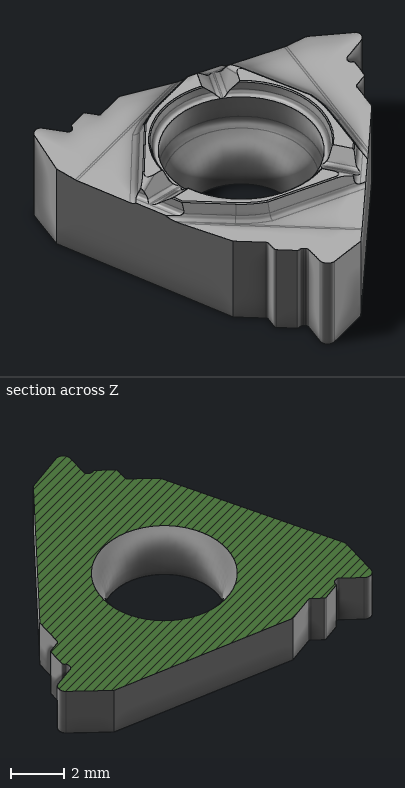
import cadquery as cq
import math

CORNERS = 3
CORNER_STEP = 360 / CORNERS
INSCRIBED_RADIUS = 9.525 / 2
TOOTH_TIP_Y = 6.89
TIP_CENTER_X = -3.585
TIP_RADIUS = 0.32
FLANK_ANGLE = 60
VALLEY_FLOOR_Y = 5.853
VALLEY_WIDTH = 0.24
VALLEY_RADIUS = 0.13
SHOULDER_Y = 6.017
SHOULDER_END_X = -1.58
SHOULDER_FOOT_Y = 5.487
SHOULDER_ROUND = 0.1

TOP_Z = 4.1
FLOOR_Z = 3.5
PAD_Z = 3.6
CUT_CLEARANCE = 0.5
REACH = 12.0

RAKE_ANGLE = 10
RAMP_BEND_Y = 4.285
RAMP_BEND_RADIUS = 0.5
RAMP_DEPTH = 0.5

SEAT_FOOT = 4.2
SEAT_DRAFT = 25
SEAT_FILLET = 0.3
SEAT_ARC_ANGLE = 19.2
SEAT_SLANT_ANGLE = 31.6
EDGE_BREAK = 0.04

END_WALL_FOOT = 4.56
END_WALL_DRAFT = 15
END_WALL_FILLET = 0.23

GROOVE_ANGLE = 46
GROOVE_FLAT = 0.06
GROOVE_FILLET = 0.3
GROOVE_DRAFT = 50
GROOVE_EDGE_ROUND = 0.35
GROOVE_EDGE_POINT = (-4.05, 1.68, 3.95)

THROAT_RADIUS = 2.2
THROAT_Z = 0.68
THROAT_CURVE = 2.05
BORE_RADIUS = 3.11
BORE_FILLET = 0.55
RIM_DRAFT = 15
RIM_FILLET = 0.25


def sin(angle):
    return math.sin(math.radians(angle))


def cos(angle):
    return math.cos(math.radians(angle))


def tan(angle):
    return math.tan(math.radians(angle))


def turned(point, angle):
    """Rotate a plan point about the origin."""
    x, y = point
    return (x * cos(angle) - y * sin(angle), x * sin(angle) + y * cos(angle))


def around(shape):
    """One copy of a shape for each corner of the triangle."""
    return [shape.rotate((0, 0, 0), (0, 0, 1), i * CORNER_STEP) for i in range(CORNERS)]


def rounded_polygon(plane, corners):
    """Closed outline through (u, v, radius) corners, each rounded by its radius."""
    outline = None
    for i, (u, v, radius) in enumerate(corners):
        corner = cq.Vector(u, v)
        before = cq.Vector(*corners[i - 1][:2])
        after = cq.Vector(*corners[(i + 1) % len(corners)][:2])
        to_before = (before - corner).normalized()
        to_after = (after - corner).normalized()
        half_angle = to_before.getAngle(to_after) / 2
        setback = radius / math.tan(half_angle)
        start = corner + to_before * setback
        if outline is None:
            outline = cq.Workplane(plane).moveTo(start.x, start.y)
        else:
            outline = outline.lineTo(start.x, start.y)
        if radius > 0:
            end = corner + to_after * setback
            bisector = (to_before + to_after).normalized()
            middle = corner + bisector * (radius / math.sin(half_angle) - radius)
            outline = outline.threePointArc((middle.x, middle.y), (end.x, end.y))
    return outline.close()


def tooth_corners():
    """Corners of one tooth, listed clockwise from the side at -X."""
    tip_center_y = TOOTH_TIP_Y - TIP_RADIUS
    tip_apex_y = tip_center_y + TIP_RADIUS / cos(FLANK_ANGLE)
    flank_start_y = tip_apex_y - (TIP_CENTER_X + INSCRIBED_RADIUS) * tan(FLANK_ANGLE)
    valley_start_x = TIP_CENTER_X + (tip_apex_y - VALLEY_FLOOR_Y) / tan(FLANK_ANGLE)
    valley_end_x = valley_start_x + VALLEY_WIDTH
    shoulder_start_x = valley_end_x + (SHOULDER_Y - VALLEY_FLOOR_Y) / tan(FLANK_ANGLE)
    shoulder_foot_x = SHOULDER_END_X + (SHOULDER_Y - SHOULDER_FOOT_Y) / tan(FLANK_ANGLE)
    side_angle = 180 - CORNER_STEP
    side_x = (INSCRIBED_RADIUS - SHOULDER_FOOT_Y * sin(side_angle)) / cos(side_angle)
    return [
        (-INSCRIBED_RADIUS, flank_start_y, 0),
        (TIP_CENTER_X, tip_apex_y, TIP_RADIUS),
        (valley_start_x, VALLEY_FLOOR_Y, VALLEY_RADIUS),
        (valley_end_x, VALLEY_FLOOR_Y, VALLEY_RADIUS),
        (shoulder_start_x, SHOULDER_Y, SHOULDER_ROUND),
        (SHOULDER_END_X, SHOULDER_Y, SHOULDER_ROUND),
        (shoulder_foot_x, SHOULDER_FOOT_Y, SHOULDER_ROUND),
        (side_x, SHOULDER_FOOT_Y, 0),
    ]


def insert_prism(height):
    """The plan of the insert, extruded up from Z = 0."""
    corners = []
    for i in range(CORNERS):
        for x, y, radius in tooth_corners():
            corners.append((*turned((x, y), -i * CORNER_STEP), radius))
    return rounded_polygon("XY", corners).extrude(height)


def rake_ramp():
    """A wide bar whose top is the floor bending up into the rake face."""
    start_y = RAMP_BEND_Y - RAMP_DEPTH
    end_z = FLOOR_Z + (REACH - RAMP_BEND_Y) * tan(RAKE_ANGLE)
    profile = [
        (start_y, FLOOR_Z - RAMP_DEPTH, 0),
        (start_y, FLOOR_Z, 0),
        (RAMP_BEND_Y, FLOOR_Z, RAMP_BEND_RADIUS),
        (REACH, end_z, 0),
        (REACH, FLOOR_Z - RAMP_DEPTH, 0),
    ]
    return rounded_polygon("YZ", profile).extrude(REACH, both=True)


def wall_cutter_profile(foot, foot_z, draft, fillet):
    """Section of the space outside a drafted wall whose filleted foot starts at Y = foot."""
    sharp_foot = foot - fillet * tan((90 - draft) / 2)
    cut_top = TOP_Z + CUT_CLEARANCE
    top = sharp_foot - (cut_top - foot_z) * tan(draft)
    profile = [
        (sharp_foot, foot_z, fillet),
        (REACH, foot_z, 0),
        (REACH, cut_top, 0),
        (top, cut_top, 0),
    ]
    return rounded_polygon("YZ", profile)


def seat_wall_cutters():
    """The straight, round and slanted walls of the seat at one corner."""
    straight = wall_cutter_profile(SEAT_FOOT, FLOOR_Z, SEAT_DRAFT, SEAT_FILLET).extrude(REACH)
    rounded = wall_cutter_profile(SEAT_FOOT, FLOOR_Z, SEAT_DRAFT, SEAT_FILLET).revolve(
        SEAT_SLANT_ANGLE, (0, 0), (0, 1)
    )
    slant_foot = SEAT_FOOT * cos(SEAT_SLANT_ANGLE - SEAT_ARC_ANGLE)
    slanted = wall_cutter_profile(slant_foot, FLOOR_Z, SEAT_DRAFT, SEAT_FILLET).extrude(REACH, both=True)
    return [straight, rounded, slanted.rotate((0, 0, 0), (0, 0, 1), SEAT_SLANT_ANGLE)]


def end_wall_cutter():
    """Clears the seat next to the side at -X, down to the low pad."""
    profile = wall_cutter_profile(END_WALL_FOOT, PAD_Z, END_WALL_DRAFT, END_WALL_FILLET)
    return profile.extrude(REACH, both=True).rotate((0, 0, 0), (0, 0, 1), 90)


def groove_cutter():
    """V groove with a narrow flat bottom, running outwards from the hole."""
    setback = GROOVE_FILLET * tan((90 - GROOVE_DRAFT) / 2)
    foot = GROOVE_FLAT / 2 + setback
    cut_top = TOP_Z + CUT_CLEARANCE
    top = foot + (cut_top - PAD_Z) * tan(GROOVE_DRAFT)
    profile = [
        (-foot, PAD_Z, GROOVE_FILLET),
        (foot, PAD_Z, GROOVE_FILLET),
        (top, cut_top, 0),
        (-top, cut_top, 0),
    ]
    groove = rounded_polygon("YZ", profile).extrude(REACH)
    return groove.rotate((0, 0, 0), (0, 0, 1), GROOVE_ANGLE)


def screw_hole():
    """Waisted through hole, bore and drafted rim, as one turned cutter."""
    curve_center_r = THROAT_RADIUS + THROAT_CURVE
    bottom_r = curve_center_r - math.sqrt(THROAT_CURVE**2 - THROAT_Z**2)
    fillet_center_r = BORE_RADIUS - BORE_FILLET
    center_distance = THROAT_CURVE + BORE_FILLET
    offset_r = curve_center_r - fillet_center_r
    fillet_center_z = THROAT_Z + math.sqrt(center_distance**2 - offset_r**2)
    turn = math.degrees(math.acos(offset_r / center_distance))
    waist_top = (
        curve_center_r - THROAT_CURVE * cos(turn),
        THROAT_Z + THROAT_CURVE * sin(turn),
    )
    fillet_middle = (
        fillet_center_r + BORE_FILLET * cos(turn / 2),
        fillet_center_z - BORE_FILLET * sin(turn / 2),
    )
    rim_turn = 90 - RIM_DRAFT
    rim_arc_middle = (
        BORE_RADIUS + RIM_FILLET * sin(rim_turn / 2),
        PAD_Z + RIM_FILLET * (1 - cos(rim_turn / 2)),
    )
    rim_arc_end = (
        BORE_RADIUS + RIM_FILLET * sin(rim_turn),
        PAD_Z + RIM_FILLET * (1 - cos(rim_turn)),
    )
    cut_top = TOP_Z + CUT_CLEARANCE
    rim_top_r = rim_arc_end[0] + (cut_top - rim_arc_end[1]) * tan(RIM_DRAFT)
    profile = (
        cq.Workplane("XZ")
        .lineTo(bottom_r, 0)
        .threePointArc((THROAT_RADIUS, THROAT_Z), waist_top)
        .threePointArc(fillet_middle, (BORE_RADIUS, fillet_center_z))
        .lineTo(BORE_RADIUS, PAD_Z)
        .threePointArc(rim_arc_middle, rim_arc_end)
        .lineTo(rim_top_r, cut_top)
        .lineTo(0, cut_top)
        .close()
    )
    return profile.revolve(360, (0, 0), (0, 1))


def seat_on_floor():
    """A wide disk at floor height with the finished seat standing on it."""
    seat = cq.Workplane("XY").circle(REACH).extrude(TOP_Z)
    for wall in seat_wall_cutters() + [end_wall_cutter()]:
        for cutter in around(wall):
            seat = seat.cut(cutter)
    seat = seat.cut(screw_hole())
    seat = seat.faces(">Z").edges().chamfer(EDGE_BREAK)
    for cutter in around(groove_cutter()):
        seat = seat.cut(cutter)
    return round_groove_edges(seat)


def round_groove_edges(seat):
    """Round the edge where each groove breaks through a slanted wall."""
    x, y, z = GROOVE_EDGE_POINT
    for i in range(CORNERS):
        near_edge = (*turned((x, y), i * CORNER_STEP), z)
        seat = seat.edges(cq.selectors.NearestToPointSelector(near_edge)).fillet(GROOVE_EDGE_ROUND)
    return seat


body = seat_on_floor()
for ramp in around(rake_ramp()):
    body = body.union(ramp)

result = body.intersect(insert_prism(TOP_Z))